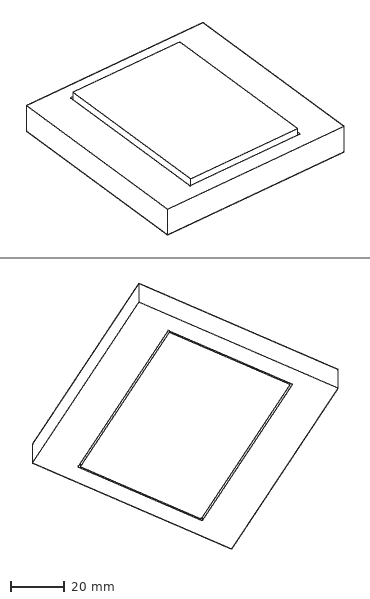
import cadquery as cq

base_side = 85.0
total_height = 14.5
panel_rise = 2.55
base_height = total_height - panel_rise

panel_length = 71.0
panel_width = 51.5
end_clearance = 0.5
side_clearance = 0.8
opening_length = panel_length + 2 * end_clearance
opening_width = panel_width + 2 * side_clearance


def make_block(length, width, height):
    """Rectangular block centred in X and Y, standing on Z = 0."""
    return cq.Workplane("XY").box(length, width, height, centered=(True, True, False))


def make_base():
    """Square plate with a rectangular opening right through it."""
    plate = make_block(base_side, base_side, base_height)
    opening = make_block(opening_length, opening_width, base_height)
    return plate.cut(opening)


def make_panel():
    """Block filling the opening with clearance all round, raised above the base."""
    return make_block(panel_length, panel_width, total_height)


base = make_base()
panel = make_panel()

result = cq.Compound.makeCompound([base.val(), panel.val()])